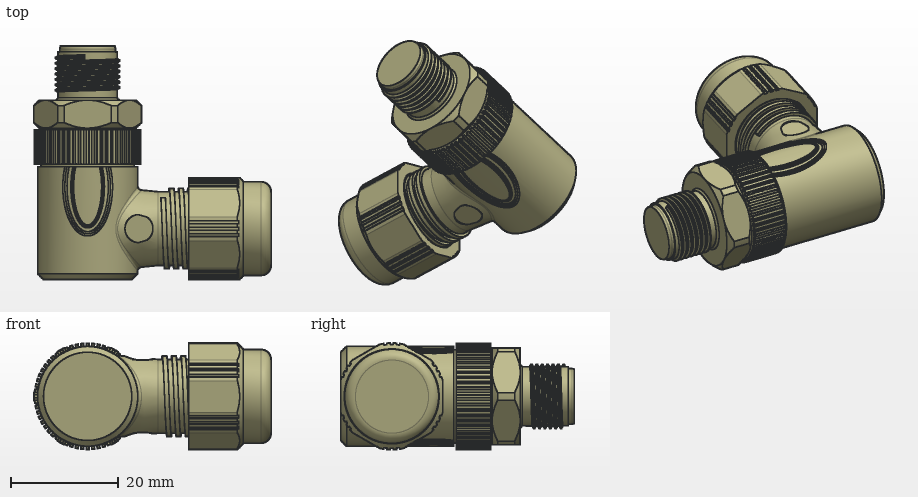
import cadquery as cq
import math

MAIN_AXIS = cq.Plane(origin=(0, 0, 0), xDir=(-1, 0, 0), normal=(0, 1, 0))
CABLE_AXIS = cq.Plane(origin=(0, 0, 0), xDir=(0, 1, 0), normal=(1, 0, 0))

body_radius = 9.3
body_bottom = -9.48
body_top = 11.5
body_chamfer = 1.1

ring_bottom = 11.95
ring_top = 18.4
ring_radius = 9.87
ring_neck_radius = 8.7
tooth_count = 60
tooth_groove_depth = 0.6
tooth_groove_width = 0.5

hex_bottom = 18.65
hex_top = 23.85
hex_flats = 18.0
hex_corner_radius = 10.0
hex_neck_radius = 7.0
spigot_radius = 5.5
spigot_end = 33.9
spigot_flare = 0.4
spigot_tip_radius = 5.2
spigot_tip_length = 1.1
spigot_tip_taper_length = 0.55
spigot_tip_taper_depth = 0.15

spigot_thread_radius = 6.0
spigot_thread_height = 6.4
spigot_thread_start = 25.52
spigot_thread_start_angle = -60
spigot_thread_turns = 6.4
spigot_thread_pitch = spigot_thread_height / spigot_thread_turns
spigot_thread_base_width = 0.85
spigot_thread_crest_width = 0.18

arm_taper_start = 4.4
arm_taper_end = 13.0
arm_start_radius = 7.7
arm_radius = 6.88
arm_end = 21.15
arm_fillet = 0.7
spot_x = 9.5
spot_radius = 2.6
spot_height = 6.75

cable_thread_radius = 7.5
cable_thread_height = 5.75
cable_thread_width = 0.85
cable_thread_start = 14.0
cable_thread_start_angle = 40
cable_thread_turns = 3.3
cable_thread_pitch = cable_thread_height / cable_thread_turns

nut_start = 18.75
nut_end = 34.07
nut_flats = 18.95
nut_corner_radius = 9.9
nut_grip_end = 27.75
nut_collar_start = 28.87
nut_collar_radius = 8.73
nut_end_fillet = 1.95
nut_bore_radius = 7.65
nut_bore_depth = 0.9
grip_groove_angles = (-7, 0, 7)
grip_groove_width = 0.55
grip_groove_depth = 0.25

label_center_y = 7.75
label_half_width = 4.65
label_half_length = 9.12
label_steps = 3
label_step_depth = 0.11
outer_step_inset = 0.4
island_inset = 2.03
island_step_width = 0.25

overlap = 0.15
blend_margin = 0.45
hex_sides = 6
hex_step = 360 / hex_sides


def turned(profile):
    """Revolve an outline of (radius, height) points about local Z."""
    return cq.Workplane("XZ").polyline(profile).close().revolve(360, (0, 0), (0, 1))


def cylinder(radius, bottom, top):
    return cq.Workplane("XY").workplane(offset=bottom).circle(radius).extrude(top - bottom)


def hex_prism(flats, bottom, top):
    """Hexagonal prism with its corners on local X."""
    across_corners = flats / math.cos(math.pi / hex_sides)
    base = cq.Workplane("XY").workplane(offset=bottom)
    return base.polygon(hex_sides, across_corners).extrude(top - bottom)


def groove_cutter(angle, radius, depth, width, bottom, top):
    """Cutter for a straight groove along local Z, going inwards from the given radius."""
    return (
        cq.Workplane("XY")
        .workplane(offset=bottom)
        .center(radius, 0)
        .rect(2 * depth, width)
        .extrude(top - bottom)
        .rotate((0, 0, 0), (0, 0, 1), angle)
    )


def thread(profile, root_radius, pitch, turns, start, start_angle):
    """Right-handed ridge with a (radius, height) tooth outline; its start is turned from local +X."""
    helix = cq.Wire.makeHelix(pitch, pitch * turns, root_radius)
    tooth = cq.Workplane("XZ").polyline(profile).close().sweep(cq.Workplane(helix), isFrenet=True)
    return tooth.rotate((0, 0, 0), (0, 0, 1), start_angle).translate((0, 0, start))


def on_axis(shape, plane):
    """Lay a piece modelled along local Z onto the given axis plane."""
    return cq.Workplane(shape.val().moved(cq.Location(plane)))


def make_body():
    return cylinder(body_radius, body_bottom, body_top).faces("<Z").chamfer(body_chamfer)


def make_knurled_ring():
    ring = cylinder(ring_radius, ring_bottom, ring_top)
    tooth_step = 360 / tooth_count
    grooves = []
    for i in range(tooth_count):
        cutter = groove_cutter(
            (i + 0.5) * tooth_step,
            ring_radius,
            tooth_groove_depth,
            tooth_groove_width,
            ring_bottom,
            ring_top,
        )
        grooves.append(cutter.val())
    ring = ring.cut(cq.Workplane(cq.Compound.makeCompound(grooves)))
    return ring.union(cylinder(ring_neck_radius, body_top - overlap, ring_bottom + overlap))


def make_hex_nut():
    face_radius = hex_flats / 2
    corner_chamfer = hex_corner_radius - face_radius
    envelope = turned(
        [
            (0, hex_bottom),
            (face_radius, hex_bottom),
            (hex_corner_radius, hex_bottom + corner_chamfer),
            (hex_corner_radius, hex_top - corner_chamfer),
            (face_radius, hex_top),
            (0, hex_top),
        ]
    )
    nut = hex_prism(hex_flats, hex_bottom, hex_top).intersect(envelope)
    return nut.union(cylinder(hex_neck_radius, ring_top - overlap, hex_bottom + overlap))


def make_spigot():
    tip_shoulder = spigot_end - spigot_tip_length
    spigot = turned(
        [
            (0, hex_top - overlap),
            (spigot_radius + spigot_flare, hex_top - overlap),
            (spigot_radius + spigot_flare, hex_top),
            (spigot_radius, hex_top + spigot_flare),
            (spigot_radius, tip_shoulder),
            (spigot_tip_radius, tip_shoulder),
            (spigot_tip_radius, spigot_end - spigot_tip_taper_length),
            (spigot_tip_radius - spigot_tip_taper_depth, spigot_end),
            (0, spigot_end),
        ]
    )
    root_radius = spigot_radius - overlap
    half_base = spigot_thread_base_width / 2
    half_crest = spigot_thread_crest_width / 2
    tooth = [
        (root_radius, -half_base),
        (spigot_thread_radius, -half_crest),
        (spigot_thread_radius, half_crest),
        (root_radius, half_base),
    ]
    ridge = thread(
        tooth,
        root_radius,
        spigot_thread_pitch,
        spigot_thread_turns,
        spigot_thread_start,
        spigot_thread_start_angle,
    )
    return spigot.union(ridge)


def make_arm():
    return turned(
        [
            (0, arm_taper_start),
            (arm_start_radius, arm_taper_start),
            (arm_radius, arm_taper_end),
            (arm_radius, arm_end),
            (0, arm_end),
        ]
    )


def make_cable_thread():
    root_radius = arm_radius - overlap
    half_width = cable_thread_width / 2
    tooth = [
        (root_radius, -half_width),
        (cable_thread_radius, -half_width),
        (cable_thread_radius, half_width),
        (root_radius, half_width),
    ]
    return thread(
        tooth,
        root_radius,
        cable_thread_pitch,
        cable_thread_turns,
        cable_thread_start,
        cable_thread_start_angle,
    )


def make_cable_nut():
    cone_height = nut_collar_start - nut_grip_end
    envelope = turned(
        [
            (0, nut_start),
            (nut_corner_radius, nut_start),
            (nut_corner_radius, nut_grip_end),
            (nut_corner_radius - cone_height, nut_collar_start),
            (0, nut_collar_start),
        ]
    )
    grip = hex_prism(nut_flats, nut_start, nut_collar_start).rotate((0, 0, 0), (0, 0, 1), hex_step / 2)
    grip = grip.intersect(envelope)
    for corner in range(hex_sides):
        corner_angle = (corner + 0.5) * hex_step
        for offset in grip_groove_angles:
            grip = grip.cut(
                groove_cutter(
                    corner_angle + offset,
                    nut_corner_radius,
                    grip_groove_depth,
                    grip_groove_width,
                    nut_start,
                    nut_collar_start,
                )
            )
    collar = cylinder(nut_collar_radius, nut_start, nut_end)
    collar = collar.faces(">Z").edges().fillet(nut_end_fillet)
    bore = cylinder(nut_bore_radius, nut_start, nut_start + nut_bore_depth)
    return grip.union(collar).cut(bore)


def label_oval(inset):
    """Oval prism standing through the body, shrunk from the label outline by the inset."""
    return (
        cq.Workplane("XY")
        .workplane(offset=-2 * body_radius)
        .center(0, label_center_y)
        .ellipse(label_half_width - inset, label_half_length - inset)
        .extrude(4 * body_radius)
    )


def label_cutter(outer_inset, inner_inset, depth):
    """Oval band of constant depth below the cylindrical body surface."""
    band = label_oval(outer_inset).cut(label_oval(inner_inset))
    shell = cylinder(body_radius + overlap, body_bottom, body_top).cut(
        cylinder(body_radius - depth, body_bottom, body_top)
    )
    return band.intersect(on_axis(shell, MAIN_AXIS))


def spot_cutter(side):
    """Round spot face on the arm, above (side = 1) or below (side = -1) its axis."""
    return (
        cq.Workplane("XY")
        .workplane(offset=side * spot_height)
        .center(spot_x, 0)
        .circle(spot_radius)
        .extrude(side * arm_start_radius)
    )


elbow = on_axis(make_body(), MAIN_AXIS).union(on_axis(make_arm(), CABLE_AXIS))
blend_reach = arm_start_radius + blend_margin
blend_zone = cq.selectors.BoxSelector(
    (arm_taper_start, -blend_reach, -blend_reach),
    (body_radius + blend_margin, blend_reach, blend_reach),
    boundingbox=True,
)
elbow = elbow.edges(blend_zone).fillet(arm_fillet)
for side in (1, -1):
    elbow = elbow.cut(spot_cutter(side))
for step in range(label_steps):
    outer_inset = step * outer_step_inset
    inner_inset = island_inset - step * island_step_width
    elbow = elbow.cut(label_cutter(outer_inset, inner_inset, (step + 1) * label_step_depth))

result = elbow
for piece in (make_knurled_ring(), make_hex_nut(), make_spigot()):
    result = result.union(on_axis(piece, MAIN_AXIS))
for piece in (make_cable_thread(), make_cable_nut()):
    result = result.union(on_axis(piece, CABLE_AXIS))